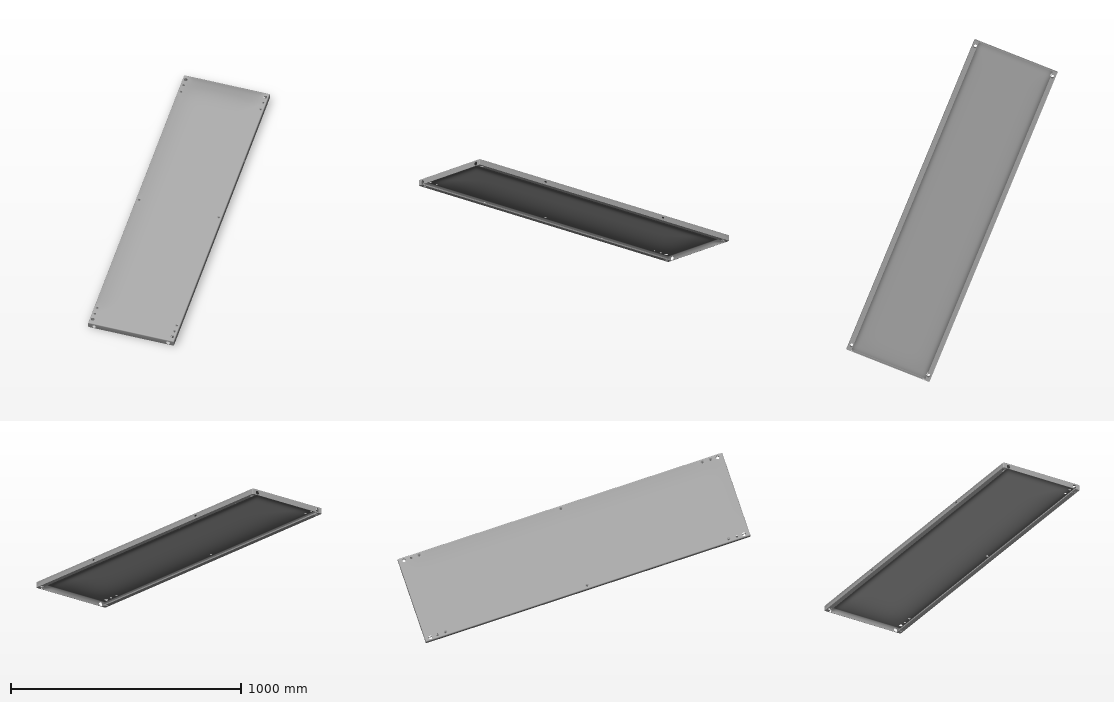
import cadquery as cq

LENGTH = 1488.0
WIDTH = 388.0
HEIGHT = 27.0
SHEET = 2.0
BEND_RADIUS = 5.0
CORNER_RADIUS = 3.0
INNER_BEND_RADIUS = BEND_RADIUS - SHEET
TOP = HEIGHT / 2
BOTTOM = -HEIGHT / 2
CORNERS = [(side, end) for side in (-1, 1) for end in (-1, 1)]
CUT = 15.0

LIP_WIDTH = 21.0
RETURN_HEIGHT = 6.0
RETURN_SETBACK = 12.0

PLATE_INNER_X = 158.0
PLATE_OUTER_X = 186.0
PLATE_WIDTH = PLATE_OUTER_X - PLATE_INNER_X
PLATE_TOP = TOP - BEND_RADIUS
PLATE_HEIGHT = PLATE_TOP - BOTTOM
PLATE_HOLE_X = 168.0
PLATE_HOLE_Z = -3.0
PLATE_HOLE_DIAMETER = 18.0

HOLE_ROW_X = 180.0
MOUNT_HOLE_Y = 719.0
MOUNT_HOLE_DIAMETER = 16.0
PILOT_HOLE_Y = 686.0
PILOT_HOLE_DIAMETER = 10.0
SCREW_HOLE_Y = 649.0
SCREW_HOLE_DIAMETER = 9.0
SCREW_HEAD_DIAMETER = 16.0

SLOT_Y = 350.0
SLOT_Z = 0.0
SLOT_LENGTH = 15.0
SLOT_HEIGHT = 7.0


def folded_shell():
    """Top sheet with walls folded down on all four sides."""
    outer = (
        cq.Workplane("XY")
        .box(WIDTH, LENGTH, HEIGHT)
        .edges("|Z").fillet(CORNER_RADIUS)
        .faces(">Z").edges().fillet(BEND_RADIUS)
    )
    cavity = (
        cq.Workplane("XY")
        .box(WIDTH - 2 * SHEET, LENGTH - 2 * SHEET, HEIGHT)
        .faces(">Z").edges().fillet(INNER_BEND_RADIUS)
        .translate((0, 0, -SHEET))
    )
    return outer.cut(cavity)


def side_lips():
    """Strips along the bottom of both long side walls."""
    return (
        cq.Workplane("XY", origin=(0, 0, BOTTOM))
        .pushPoints([(side * (WIDTH - LIP_WIDTH) / 2, 0) for side in (-1, 1)])
        .rect(LIP_WIDTH, LENGTH - 2 * SHEET)
        .extrude(SHEET)
    )


def lip_returns():
    """Strips standing up from the inner edges of the lips, stopping short of the end walls."""
    return (
        cq.Workplane("XY", origin=(0, 0, BOTTOM))
        .pushPoints([(side * (WIDTH / 2 - LIP_WIDTH + SHEET / 2), 0) for side in (-1, 1)])
        .rect(SHEET, LENGTH - 2 * RETURN_SETBACK)
        .extrude(RETURN_HEIGHT)
    )


def hole_row_points(y):
    """The four places at a distance y from the middle, along both long edges."""
    return [(side * HOLE_ROW_X, end * y) for side, end in CORNERS]


def vertical_holes(points, diameter, bottom):
    """Cutters from the given bottom height up through the top sheet."""
    return (
        cq.Workplane("XY", origin=(0, 0, bottom))
        .pushPoints(points).circle(diameter / 2).extrude(TOP + CUT - bottom)
    )


def screw_holes():
    """Countersunk holes, three along each long edge."""
    points = hole_row_points(SCREW_HOLE_Y) + [(-HOLE_ROW_X, 0), (HOLE_ROW_X, 0)]
    heads = cq.Workplane("XY").pushPoints(points).eachpoint(
        lambda place: cq.Solid.makeCone(
            SCREW_HOLE_DIAMETER / 2, SCREW_HEAD_DIAMETER / 2, SHEET, cq.Vector(0, 0, TOP - SHEET)
        ).moved(place)
    )
    return vertical_holes(points, SCREW_HOLE_DIAMETER, 0).union(heads)


def side_slots():
    """Two cutters that pass through both long side walls."""
    return (
        cq.Workplane("YZ", origin=(-WIDTH, 0, SLOT_Z))
        .pushPoints([(-SLOT_Y, 0), (SLOT_Y, 0)])
        .slot2D(SLOT_LENGTH, SLOT_HEIGHT).extrude(2 * WIDTH)
    )


def corner_block(side, end):
    """The space that one corner plate fills in the end wall."""
    return cq.Workplane("XY").box(PLATE_WIDTH, SHEET, PLATE_HEIGHT).translate((
        side * (PLATE_INNER_X + PLATE_OUTER_X) / 2,
        end * (LENGTH - SHEET) / 2,
        (PLATE_TOP + BOTTOM) / 2,
    ))


def make_corner_plate(side, end):
    """A flat plate with a round hole along Y."""
    hole = (
        cq.Workplane("XZ", origin=(side * PLATE_HOLE_X, LENGTH, PLATE_HOLE_Z))
        .circle(PLATE_HOLE_DIAMETER / 2).extrude(2 * LENGTH)
    )
    return corner_block(side, end).cut(hole)


def make_panel():
    """The folded sheet with its lips, holes, slots and corner notches."""
    panel = folded_shell().union(side_lips())
    panel = panel.cut(vertical_holes(hole_row_points(MOUNT_HOLE_Y), MOUNT_HOLE_DIAMETER, BOTTOM - CUT))
    panel = panel.union(lip_returns())
    panel = panel.cut(vertical_holes(hole_row_points(PILOT_HOLE_Y), PILOT_HOLE_DIAMETER, 0))
    panel = panel.cut(screw_holes()).cut(side_slots())
    for side, end in CORNERS:
        panel = panel.cut(corner_block(side, end))
    return panel


panel = make_panel()
corner_plates = [make_corner_plate(side, end) for side, end in CORNERS]
result = cq.Compound.makeCompound([panel.solids().val(), *[plate.solids().val() for plate in corner_plates]])